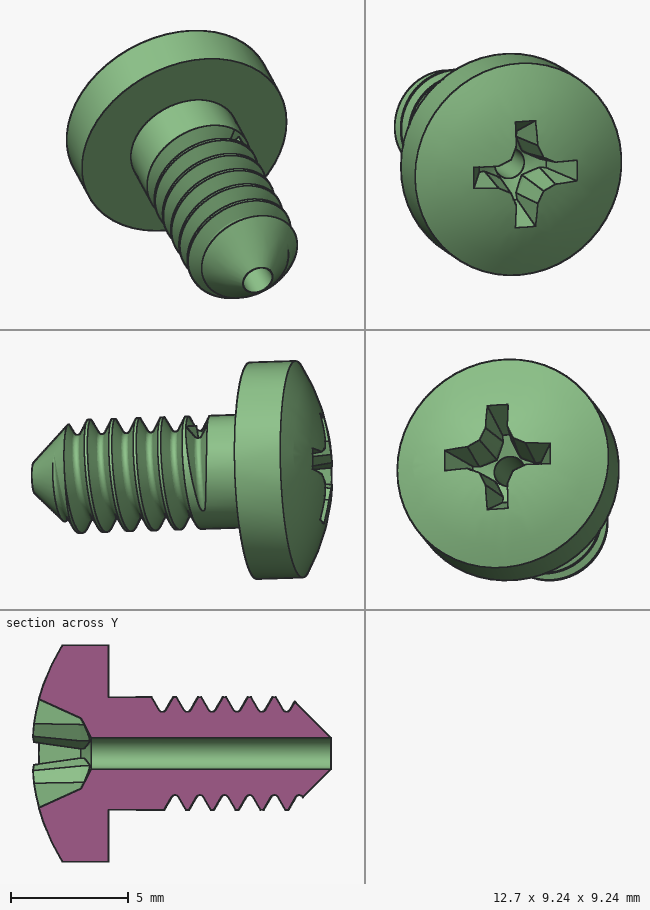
import cadquery as cq
import math

length = 12.69
head_radius = 4.62
head_rim_start = 1.24
head_end = 3.22
dome_apex = -0.06

shank_radius = 2.41
tip_radius = 0.67
hole_radius = 0.66
tip_cone_start = length - (shank_radius - tip_radius)

groove_turns = 6
groove_length = 6.35
pitch = groove_length / groove_turns
root_radius = 1.78
root_rounding = 0.16
flank_angle = 30.0
groove_start = 5.38
groove_start_angle = 45.0
cutter_overlap = 0.04
runout_axis_offset = 0.63
runout_angle = 90.0

recess_depth = 2.03
recess_mouth = dict(arm_end=2.45, half_width=0.5, knee=1.27, corner=0.74)
recess_bottom = dict(arm_end=1.5, half_width=0.197, knee=1.23, corner=0.53)
recess_cone_radius = 1.52
recess_cone_depth = 0.45


def screw_body():
    """Revolve the domed head, shank and conical tip about X."""
    sagitta = head_rim_start - dome_apex
    dome_radius = (head_radius**2 + sagitta**2) / (2 * sagitta)
    mid_radius = head_radius / 2
    mid_x = dome_apex + dome_radius - math.sqrt(dome_radius**2 - mid_radius**2)
    return (
        cq.Workplane("XY")
        .moveTo(dome_apex, 0)
        .threePointArc((mid_x, mid_radius), (head_rim_start, head_radius))
        .lineTo(head_end, head_radius)
        .lineTo(head_end, shank_radius)
        .lineTo(tip_cone_start, shank_radius)
        .lineTo(length, tip_radius)
        .lineTo(length, 0)
        .close()
        .revolve(360, (0, 0, 0), (1, 0, 0))
    )


def thread_cutters():
    """V groove along a right-handed helix, and the run-out that lifts it out of the shank."""
    outer_radius = shank_radius + cutter_overlap
    flank = math.radians(flank_angle)
    tangent_radius = root_radius + root_rounding * (1 - math.sin(flank))
    tangent_half_width = root_rounding * math.cos(flank)
    outer_half_width = tangent_half_width + (outer_radius - tangent_radius) * math.tan(flank)
    helix = cq.Wire.makeHelix(pitch, groove_length, root_radius)
    section = (
        cq.Workplane("XZ")
        .moveTo(outer_radius, outer_half_width)
        .lineTo(tangent_radius, tangent_half_width)
        .threePointArc((root_radius, 0), (tangent_radius, -tangent_half_width))
        .lineTo(outer_radius, -outer_half_width)
        .close()
    )
    face = cq.Face.makeFromWires(section.wires().val())
    groove = section.sweep(cq.Workplane(helix), isFrenet=True)
    runout = cq.Workplane(cq.Solid.revolve(
        face, runout_angle,
        cq.Vector(-runout_axis_offset, 0, 0), cq.Vector(-runout_axis_offset, 0, -0.13),
    ))
    lead_angle = math.degrees(math.atan2(pitch, 2 * math.pi * root_radius))
    runout = runout.rotate((0, 0, 0), (1, 0, 0), lead_angle)
    return [lay_along_screw(groove), lay_along_screw(runout)]


def lay_along_screw(cutter):
    """Move a cutter built along Z to its place along X."""
    return (
        cutter.rotate((0, 0, 0), (1, 1, 1), 120)
        .rotate((0, 0, 0), (1, 0, 0), groove_start_angle)
        .translate((groove_start, 0, 0))
    )


def cross_points(arm_end, half_width, knee, corner):
    """Outline of a four-armed cross with angled inner corners."""
    arm = [
        (arm_end, -half_width),
        (arm_end, half_width),
        (knee, half_width),
        (corner, corner),
        (half_width, knee),
    ]
    points = []
    for quarter in range(4):
        turn = math.radians(90 * quarter)
        for y, z in arm:
            points.append((
                y * math.cos(turn) - z * math.sin(turn),
                y * math.sin(turn) + z * math.cos(turn),
            ))
    return points


def cross_recess():
    """Tapered cross with a conical floor leading into the axial hole."""
    mouth = cross_points(**recess_mouth)
    bottom = cross_points(**recess_bottom)
    taper = (
        cq.Workplane("YZ", origin=(dome_apex, 0, 0))
        .polyline(mouth)
        .close()
        .workplane(offset=recess_depth - dome_apex)
        .polyline(bottom)
        .close()
        .loft(ruled=True)
    )
    floor_prism = (
        cq.Workplane("YZ", origin=(recess_depth, 0, 0))
        .polyline(bottom)
        .close()
        .extrude(recess_cone_depth)
    )
    floor_cone = cq.Workplane(cq.Solid.makeCone(
        recess_cone_radius, hole_radius, recess_cone_depth,
        cq.Vector(recess_depth, 0, 0), cq.Vector(1, 0, 0),
    ))
    return taper.union(floor_prism.intersect(floor_cone))


def axial_hole():
    return cq.Workplane("YZ").circle(hole_radius).extrude(length)


result = screw_body()
for thread_cutter in thread_cutters():
    result = result.cut(thread_cutter)
result = result.cut(cross_recess()).cut(axial_hole())